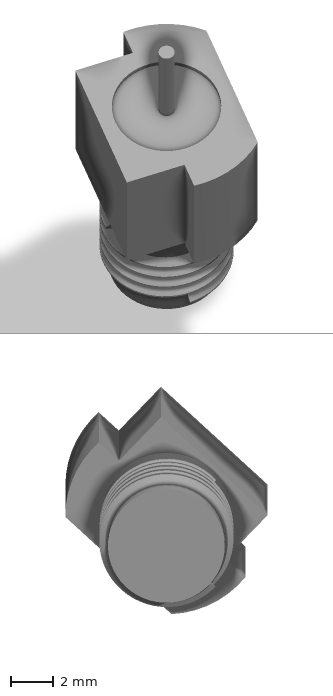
import cadquery as cq


barrel_radius = 2.775
barrel_length = 6.32
neck_radius = 3.07
neck_height = 0.52

block_height = 6.43
block_radius = 4.8
block_depth = 6.65
block_front_width = 6.96
wing_front_y = -0.4
block_top = barrel_length + block_height

dielectric_radius = 2.6
recess_depth = 0.25
dielectric_top = block_top - recess_depth
dielectric_height = dielectric_top - barrel_length

total_height = 17.21
shoulder_radius = 0.465
tail_radius = 0.38
tail_length = total_height - dielectric_top

thread_pitch = 0.8
thread_rise = 3.81
thread_start = 0.83
thread_radius = 3.19
thread_root_width = 0.55
thread_crest_width = 0.1
thread_root_overlap = 0.1


def cylinder(radius, height, base_z):
    return cq.Workplane("XY").workplane(offset=base_z).circle(radius).extrude(height)


def make_block():
    """Rear half keeps the round flange; the front is a plain rectangle."""
    half_depth = block_depth / 2
    base = cq.Workplane("XY").workplane(offset=barrel_length)
    wing_depth = half_depth - wing_front_y
    wing_slab = (
        base.center(0, wing_front_y + wing_depth / 2)
        .rect(2 * block_radius, wing_depth)
        .extrude(block_height)
    )
    wings = cylinder(block_radius, block_height, barrel_length).intersect(wing_slab)
    front_depth = half_depth + wing_front_y
    front = (
        base.center(0, -half_depth + front_depth / 2)
        .rect(block_front_width, front_depth)
        .extrude(block_height)
    )
    return wings.union(front)


def make_barrel():
    """Plain barrel that flares into the underside of the block."""
    neck_bottom = barrel_length - neck_height
    return (
        cq.Workplane("XZ")
        .moveTo(0, 0)
        .lineTo(barrel_radius, 0)
        .lineTo(barrel_radius, neck_bottom)
        .lineTo(neck_radius, barrel_length)
        .lineTo(0, barrel_length)
        .close()
        .revolve(360, (0, 0, 0), (0, 1, 0))
    )


def make_housing():
    pocket = cylinder(dielectric_radius, block_height, barrel_length)
    return make_block().union(make_barrel()).cut(pocket)


def make_dielectric():
    insert = cylinder(dielectric_radius, dielectric_height, barrel_length)
    return insert.cut(cylinder(shoulder_radius, dielectric_height, barrel_length))


def make_pin():
    shoulder = cylinder(shoulder_radius, dielectric_height, barrel_length)
    return shoulder.union(cylinder(tail_radius, tail_length, dielectric_top))


def make_thread():
    """Right-handed ridge that starts at +X, with its root trimmed to the barrel."""
    flank_depth = thread_radius - barrel_radius
    flank_slope = (thread_root_width - thread_crest_width) / flank_depth
    inner_radius = barrel_radius - thread_root_overlap
    inner_half_width = (thread_root_width + flank_slope * thread_root_overlap) / 2
    crest_half_width = thread_crest_width / 2
    helix = cq.Wire.makeHelix(thread_pitch, thread_rise, barrel_radius)
    ridge = (
        cq.Workplane("XZ")
        .moveTo(inner_radius, -inner_half_width)
        .lineTo(thread_radius, -crest_half_width)
        .lineTo(thread_radius, crest_half_width)
        .lineTo(inner_radius, inner_half_width)
        .close()
        .sweep(cq.Workplane(helix), isFrenet=True)
        .translate((0, 0, thread_start))
    )
    return ridge.cut(cylinder(barrel_radius, barrel_length, 0))


housing = make_housing()
dielectric = make_dielectric()
pin = make_pin()
thread = make_thread()

bodies = [housing, dielectric, pin, thread]
result = cq.Compound.makeCompound([body.solids().val() for body in bodies])